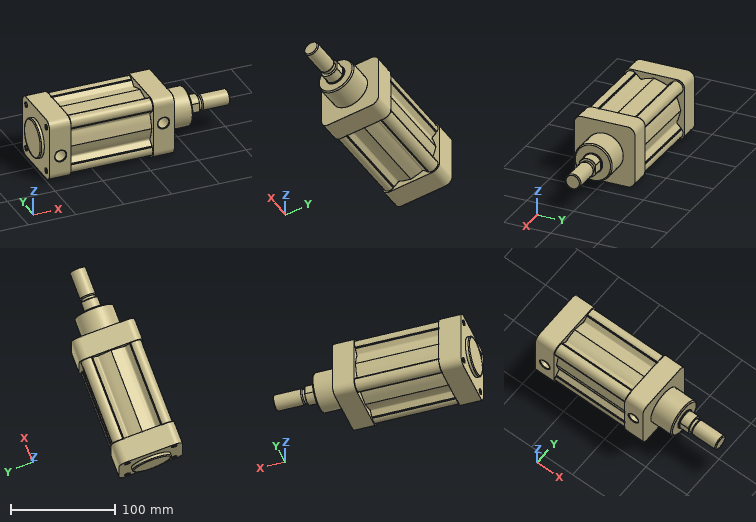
import cadquery as cq
import math

rear_cap_x = 3.9
rear_cap_length = 22.6
barrel_length = 86.0
front_cap_length = 22.0
front_pilot_length = 25.3
lip_length = 1.2
flats_length = 10.2
undercut_length = 3.0
undercut_taper = 1.2
total_length = 204.0

barrel_x = rear_cap_x + rear_cap_length
front_cap_x = barrel_x + barrel_length
front_pilot_x = front_cap_x + front_cap_length
lip_x = front_pilot_x + front_pilot_length
flats_x = lip_x + lip_length
undercut_x = flats_x + flats_length
taper_x = undercut_x + undercut_length
thread_x = taper_x + undercut_taper

cap_side = 65.0
cap_corner_radius = 8.2
pilot_radius = 20.0
rear_pilot_chamfer = 1.0
front_pilot_chamfer = 1.2
lip_radius = 10.5
lip_chamfer = 0.5

port_radius = 5.7
port_depth = 16.3
port_chamfer = 0.6
port_drop = 6.0
rear_port_x = 15.5
front_port_x = 123.2

screw_spacing = 48.0
screw_hole_radius = 2.2
screw_hole_depth = 16.3
screw_hole_chamfer = 0.6

lobe_radius = 27.5
lobe_flat_half = 7.1
lobe_half = 12.6
groove_fillet = 2.0
ledge_inner = 19.0
ledge_outer = 20.0
column_center = screw_spacing / 2
column_radius = 7.0

rod_radius = 9.8
rod_flat_half = 8.5
undercut_radius = 7.1
thread_radius = 8.2
thread_chamfer = 1.0


def disc(x, radius, length):
    """Cylinder on the main axis that starts at x."""
    return cq.Workplane("YZ", origin=(x, 0, 0)).circle(radius).extrude(length)


def cap_block(x, length):
    """Square cap with rounded long corners."""
    block = cq.Workplane("YZ", origin=(x, 0, 0)).rect(cap_side, cap_side).extrude(length)
    return block.edges("|X").fillet(cap_corner_radius)


def chamfered_hole(plane, radius, depth, chamfer):
    """Cutter for a blind hole with a countersunk mouth, drilled against the plane's normal."""
    bore = cq.Workplane(plane).circle(radius).extrude(-depth)
    mouth = cq.Solid.makeCone(
        radius + chamfer, radius, chamfer, pnt=plane.origin, dir=plane.zDir * -1
    )
    return bore.union(cq.Workplane(mouth))


def port(x, z):
    plane = cq.Plane(origin=(x, -cap_side / 2, z), xDir=(1, 0, 0), normal=(0, -1, 0))
    return chamfered_hole(plane, port_radius, port_depth, port_chamfer)


def make_rear_cap():
    pilot = disc(0, pilot_radius, rear_cap_x).faces("<X").chamfer(rear_pilot_chamfer)
    cap = cap_block(rear_cap_x, rear_cap_length).union(pilot)
    for side_y in (-1, 1):
        for side_z in (-1, 1):
            center = (rear_cap_x, side_y * screw_spacing / 2, side_z * screw_spacing / 2)
            plane = cq.Plane(origin=center, xDir=(0, 1, 0), normal=(-1, 0, 0))
            cap = cap.cut(
                chamfered_hole(plane, screw_hole_radius, screw_hole_depth, screw_hole_chamfer)
            )
    return cap.cut(port(rear_port_x, -port_drop))


def make_front_cap():
    pilot = disc(front_pilot_x, pilot_radius, front_pilot_length)
    pilot = pilot.faces(">X").chamfer(front_pilot_chamfer)
    lip = disc(lip_x, lip_radius, lip_length).faces(">X").chamfer(lip_chamfer)
    cap = cap_block(front_cap_x, front_cap_length).union(pilot).union(lip)
    rod_bore = disc(front_cap_x, rod_radius, flats_x - front_cap_x)
    return cap.cut(rod_bore).cut(port(front_port_x, port_drop))


def on_circle(center, radius, angle):
    return (center[0] + radius * math.cos(angle), center[1] + radius * math.sin(angle))


def mirrored(point):
    """Reflect across the diagonal of a quarter."""
    return (point[1], point[0])


def make_barrel():
    axis = (0, 0)
    diagonal = math.pi / 4
    flat_angle = math.asin(lobe_flat_half / lobe_radius)
    lobe_angle = math.asin(lobe_half / lobe_radius)
    ridge = (lobe_radius / math.cos(flat_angle), 0)
    flat_end = on_circle(axis, lobe_radius, flat_angle)
    lobe_middle = on_circle(axis, lobe_radius, (flat_angle + lobe_angle) / 2)
    lobe_end = on_circle(axis, lobe_radius, lobe_angle)
    groove_center = on_circle(axis, lobe_radius + groove_fillet, lobe_angle)
    fillet_start_angle = lobe_angle + math.pi
    wall_angle = math.pi - diagonal
    groove_middle = on_circle(groove_center, groove_fillet, (fillet_start_angle + wall_angle) / 2)
    wall_start = on_circle(groove_center, groove_fillet, wall_angle)
    ledge_level = wall_start[0] + ledge_inner - wall_start[1]
    corner = (column_center, column_center)
    column_angle = math.asin((ledge_outer - column_center) / column_radius)
    column_start = on_circle(corner, column_radius, column_angle)
    column_middle = on_circle(corner, column_radius, diagonal)

    quarter = (
        cq.Workplane("YZ", origin=(barrel_x, 0, 0))
        .lineTo(*ridge)
        .lineTo(*flat_end)
        .threePointArc(lobe_middle, lobe_end)
        .threePointArc(groove_middle, wall_start)
        .lineTo(ledge_level, ledge_inner)
        .lineTo(ledge_level, ledge_outer)
        .lineTo(*column_start)
        .threePointArc(column_middle, mirrored(column_start))
        .lineTo(ledge_outer, ledge_level)
        .lineTo(ledge_inner, ledge_level)
        .lineTo(*mirrored(wall_start))
        .threePointArc(mirrored(groove_middle), mirrored(lobe_end))
        .threePointArc(mirrored(lobe_middle), mirrored(flat_end))
        .lineTo(*mirrored(ridge))
        .close()
        .extrude(barrel_length)
    )
    barrel = quarter
    for turn in (90, 180, 270):
        barrel = barrel.union(quarter.rotate((0, 0, 0), (1, 0, 0), turn))
    return barrel


def make_rod():
    shank = disc(front_cap_x, rod_radius, flats_x - front_cap_x)
    flat_bar = (
        cq.Workplane("YZ", origin=(flats_x, 0, 0))
        .rect(2 * rod_flat_half, 2 * rod_radius)
        .extrude(flats_length)
    )
    flats = disc(flats_x, rod_radius, flats_length).intersect(flat_bar)
    rod_end = (
        cq.Workplane("XY")
        .moveTo(undercut_x, 0)
        .lineTo(undercut_x, undercut_radius)
        .lineTo(taper_x, undercut_radius)
        .lineTo(thread_x, thread_radius)
        .lineTo(total_length - thread_chamfer, thread_radius)
        .lineTo(total_length, thread_radius - thread_chamfer)
        .lineTo(total_length, 0)
        .close()
        .revolve(360, (0, 0, 0), (1, 0, 0))
    )
    return shank.union(flats).union(rod_end)


rear_cap = make_rear_cap()
barrel = make_barrel()
front_cap = make_front_cap()
rod = make_rod()

result = cq.Compound.makeCompound([rear_cap.val(), barrel.val(), front_cap.val(), rod.val()])